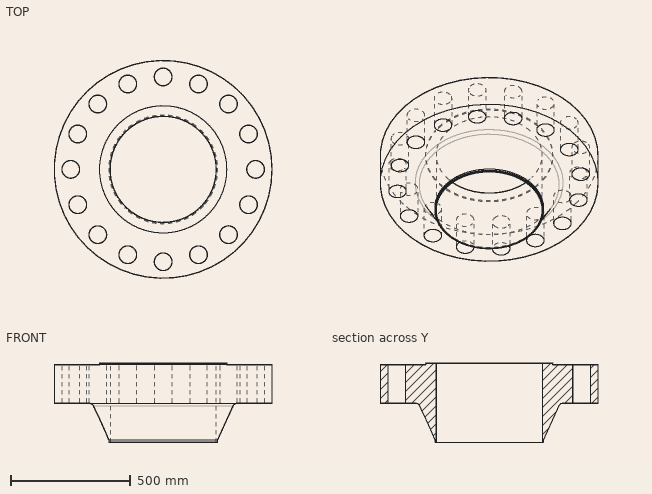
import cadquery as cq

flange_diameter = 914.0
flange_thickness = 163.0

face_diameter = 534.0
face_height = 6.0

total_height = 334.0
bore_diameter = 444.0
weld_end_diameter = 457.0
weld_end_height = 11.0
weld_end_chamfer = 3.0
hub_diameter = 597.0
hub_fillet = 18.0

bolt_count = 16
bolt_circle_diameter = 775.0
bolt_hole_diameter = 73.0

flange_top = total_height - face_height
flange_bottom = flange_top - flange_thickness


def make_neck_and_plate():
    """Revolve the neck, plate and raised face, then soften the neck edges."""
    body = (
        cq.Workplane("XZ")
        .lineTo(weld_end_diameter / 2, 0)
        .lineTo(weld_end_diameter / 2, weld_end_height)
        .lineTo(hub_diameter / 2, flange_bottom)
        .lineTo(flange_diameter / 2, flange_bottom)
        .lineTo(flange_diameter / 2, flange_top)
        .lineTo(face_diameter / 2, flange_top)
        .lineTo(face_diameter / 2, total_height)
        .lineTo(0, total_height)
        .close()
        .revolve(360, (0, 0, 0), (0, 1, 0))
    )
    underside = body.faces("|Z").faces(">Z[1]")
    hub_corner = underside.edges(cq.selectors.RadiusNthSelector(0))
    body = hub_corner.fillet(hub_fillet)
    return body.faces("<Z").edges().chamfer(weld_end_chamfer)


def cut_bore(body):
    """Cut the straight bore through the whole height."""
    bore = cq.Workplane("XY").circle(bore_diameter / 2).extrude(total_height)
    return body.cut(bore)


def cut_bolt_holes(body):
    """Cut the ring of bolt holes through the plate."""
    holes = (
        cq.Workplane("XY", origin=(0, 0, flange_bottom))
        .polarArray(bolt_circle_diameter / 2, 0, 360, bolt_count)
        .circle(bolt_hole_diameter / 2)
        .extrude(flange_thickness)
    )
    return body.cut(holes)


result = cut_bolt_holes(cut_bore(make_neck_and_plate()))